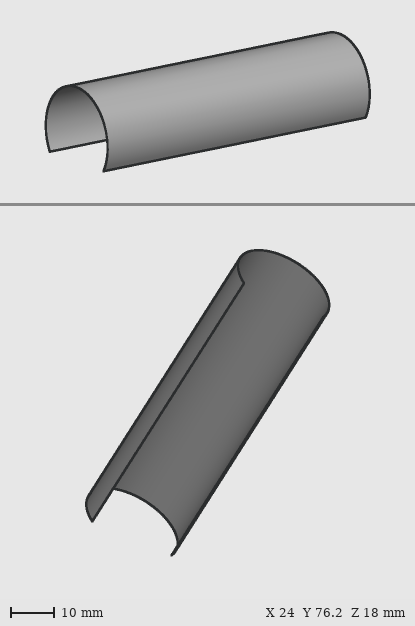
import cadquery as cq
import math

length = 76.2
outer_diameter = 24.0
wall = 0.02
end_drop_angle = 30.0

outer_radius = outer_diameter / 2
inner_radius = outer_radius - wall


def right_end(radius):
    """Point (x, z) where an arc of this radius meets the right-hand radial edge."""
    angle = math.radians(-end_drop_angle)
    return radius * math.cos(angle), radius * math.sin(angle)


outer_x, outer_z = right_end(outer_radius)
inner_x, inner_z = right_end(inner_radius)

result = (
    cq.Workplane("XZ")
    .moveTo(outer_x, outer_z)
    .threePointArc((0, outer_radius), (-outer_x, outer_z))
    .lineTo(-inner_x, inner_z)
    .threePointArc((0, inner_radius), (inner_x, inner_z))
    .close()
    .extrude(length / 2, both=True)
)